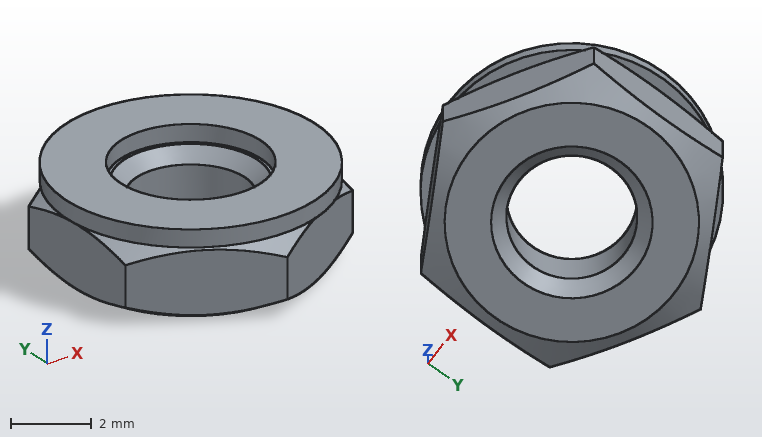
import cadquery as cq
import math

ACROSS_CORNERS = 8.08
NUT_HEIGHT = 2.2
BEARING_DIAMETER = 6.3
CORNER_CHAMFER_ANGLE = 30.0
BORE_DIAMETER = 3.24
COUNTERSINK_DIAMETER = 4.0

WASHER_DIAMETER = 7.5
WASHER_HOLE_DIAMETER = 4.2
WASHER_THICKNESS = 0.5


def corner_chamfer_envelope():
    """Revolved double-coned blank that trims the hexagon's corners."""
    corner_radius = ACROSS_CORNERS / 2
    bearing_radius = BEARING_DIAMETER / 2
    drop = (corner_radius - bearing_radius) * math.tan(math.radians(CORNER_CHAMFER_ANGLE))
    return (
        cq.Workplane("XZ")
        .moveTo(0, 0)
        .lineTo(bearing_radius, 0)
        .lineTo(corner_radius, drop)
        .lineTo(corner_radius, NUT_HEIGHT - drop)
        .lineTo(bearing_radius, NUT_HEIGHT)
        .lineTo(0, NUT_HEIGHT)
        .close()
        .revolve(360, (0, 0), (0, 1))
    )


def countersunk_bore():
    """Cutter for the through bore and its two countersinks."""
    bore_radius = BORE_DIAMETER / 2
    mouth_radius = COUNTERSINK_DIAMETER / 2
    depth = mouth_radius - bore_radius
    return (
        cq.Workplane("XZ")
        .moveTo(0, 0)
        .lineTo(mouth_radius, 0)
        .lineTo(bore_radius, depth)
        .lineTo(bore_radius, NUT_HEIGHT - depth)
        .lineTo(mouth_radius, NUT_HEIGHT)
        .lineTo(0, NUT_HEIGHT)
        .close()
        .revolve(360, (0, 0), (0, 1))
    )


def make_nut():
    hexagon = (
        cq.Workplane("XY")
        .transformed(rotate=(0, 0, 90))
        .polygon(6, ACROSS_CORNERS)
        .extrude(NUT_HEIGHT)
    )
    return hexagon.intersect(corner_chamfer_envelope()).cut(countersunk_bore())


def make_washer():
    return (
        cq.Workplane("XY")
        .workplane(offset=NUT_HEIGHT)
        .circle(WASHER_DIAMETER / 2)
        .circle(WASHER_HOLE_DIAMETER / 2)
        .extrude(WASHER_THICKNESS)
    )


nut = make_nut()
washer = make_washer()

result = cq.Compound.makeCompound([nut.solids().val(), washer.val()])